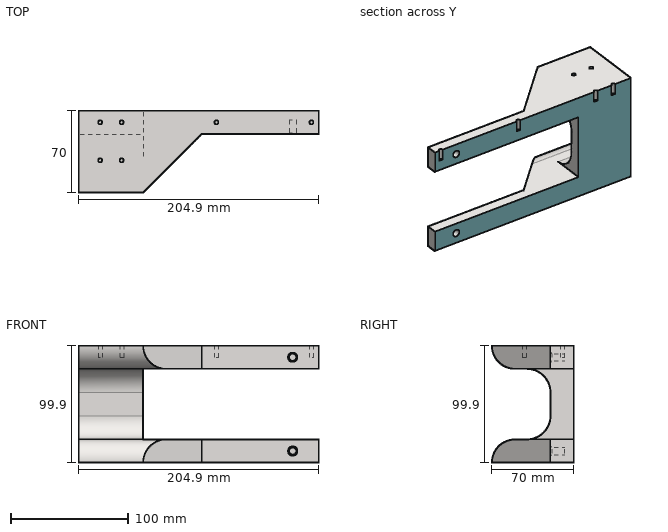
import cadquery as cq

LENGTH = 204.93
DEPTH = 70.0
HEIGHT = 99.9

OPENING_HEIGHT = 60.0
ARM_HEIGHT = (HEIGHT - OPENING_HEIGHT) / 2
BACK_THICKNESS = 20.0
LIP_RADIUS = ARM_HEIGHT
INNER_RADIUS = 20.0

BODY_LENGTH = 55.0
ARM_WIDTH = BACK_THICKNESS
BACK_FACE_Y = DEPTH - BACK_THICKNESS
TAPER_LENGTH = DEPTH - ARM_WIDTH

SCREW_DIAMETER = 3.4
SCREW_DEPTH = 10.0
SCREW_BACK_Y = DEPTH - ARM_WIDTH / 2
SCREW_FRONT_Y = 27.6
BODY_SCREW_XS = (BODY_LENGTH / 3, BODY_LENGTH * 2 / 3)
ARM_SCREW_XS = (117.5, 198.5)

ARM_HOLE_DIAMETER = 6.1
ARM_HOLE_RIM_DIAMETER = 8.0
ARM_HOLE_DEPTH = 12.0
ARM_HOLE_X = 182.5
ARM_HOLE_CHAMFER = (ARM_HOLE_RIM_DIAMETER - ARM_HOLE_DIAMETER) / 2


def make_arms():
    """Two tapered arms whose front lips are rounded on the opening side."""
    solid_plan = (
        cq.Workplane("XY")
        .polyline([
            (0, 0),
            (BODY_LENGTH, 0),
            (BODY_LENGTH + TAPER_LENGTH, BACK_FACE_Y),
            (LENGTH, BACK_FACE_Y),
            (LENGTH, DEPTH),
            (0, DEPTH),
        ])
        .close()
        .extrude(HEIGHT)
    )
    lower_section = (
        cq.Workplane("YZ")
        .moveTo(0, 0)
        .radiusArc((LIP_RADIUS, ARM_HEIGHT), LIP_RADIUS)
        .lineTo(DEPTH, ARM_HEIGHT)
        .lineTo(DEPTH, 0)
        .close()
        .extrude(LENGTH)
    )
    lower_arm = solid_plan.intersect(lower_section)
    upper_arm = lower_arm.mirror("XY", (0, 0, HEIGHT / 2))
    return lower_arm, upper_arm


def make_back_wall():
    """Wall joining the arms, flared into them by round inner corners."""
    flare_y = BACK_FACE_Y - INNER_RADIUS
    top_z = HEIGHT - ARM_HEIGHT
    return (
        cq.Workplane("YZ")
        .moveTo(DEPTH, 0)
        .lineTo(flare_y, 0)
        .lineTo(flare_y, ARM_HEIGHT)
        .radiusArc((BACK_FACE_Y, ARM_HEIGHT + INNER_RADIUS), -INNER_RADIUS)
        .lineTo(BACK_FACE_Y, top_z - INNER_RADIUS)
        .radiusArc((flare_y, top_z), -INNER_RADIUS)
        .lineTo(flare_y, HEIGHT)
        .lineTo(DEPTH, HEIGHT)
        .close()
        .extrude(BODY_LENGTH)
    )


def make_screw_holes():
    """Blind holes down from the top face: a group of four and two along the arm."""
    points = [(x, y) for x in BODY_SCREW_XS for y in (SCREW_FRONT_Y, SCREW_BACK_Y)]
    points += [(x, SCREW_BACK_Y) for x in ARM_SCREW_XS]
    return (
        cq.Workplane("XY", origin=(0, 0, HEIGHT))
        .pushPoints(points)
        .circle(SCREW_DIAMETER / 2)
        .extrude(-SCREW_DEPTH)
    )


def make_arm_hole(center_z):
    """Blind hole with a 45 degree countersink, turned about its own axis."""
    rim_radius = ARM_HOLE_RIM_DIAMETER / 2
    bore_radius = ARM_HOLE_DIAMETER / 2
    return (
        cq.Workplane("XY", origin=(ARM_HOLE_X, BACK_FACE_Y, center_z))
        .polyline([
            (0, 0),
            (rim_radius, 0),
            (bore_radius, ARM_HOLE_CHAMFER),
            (bore_radius, ARM_HOLE_DEPTH),
            (0, ARM_HOLE_DEPTH),
        ])
        .close()
        .revolve(360, (0, 0, 0), (0, 1, 0))
    )


lower_arm, upper_arm = make_arms()
result = make_back_wall().union(lower_arm).union(upper_arm)
result = result.cut(make_screw_holes())
for arm_center_z in (ARM_HEIGHT / 2, HEIGHT - ARM_HEIGHT / 2):
    result = result.cut(make_arm_hole(arm_center_z))